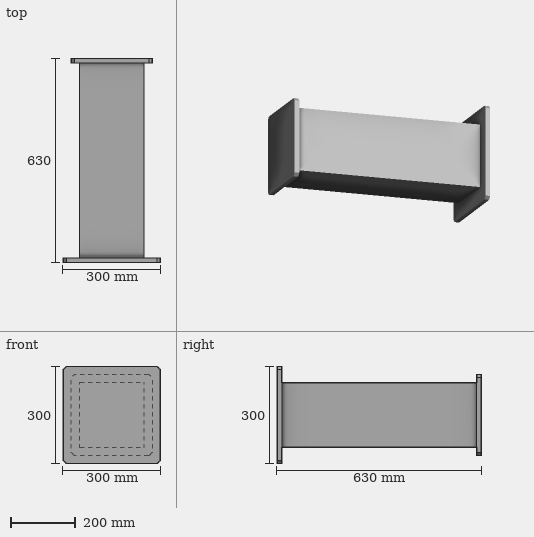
import cadquery as cq

total_length = 630.0
plate_thickness = 15.0
front_plate_side = 300.0
back_plate_side = 250.0
post_side = 200.0
corner_chamfer = 10.0

post_length = total_length - 2 * plate_thickness


def square_bar(side, length, start_y):
    """Square bar centred on the Y axis, running from start_y towards +Y."""
    bar = cq.Workplane("XY").box(side, length, side, centered=(True, False, True))
    return bar.translate((0, start_y, 0))


def end_plate(side, start_y):
    """Square plate with its four corners cut off."""
    return square_bar(side, plate_thickness, start_y).edges("|Y").chamfer(corner_chamfer)


front_plate = end_plate(front_plate_side, 0)
post = square_bar(post_side, post_length, plate_thickness)
back_plate = end_plate(back_plate_side, total_length - plate_thickness)

result = front_plate.union(post).union(back_plate)